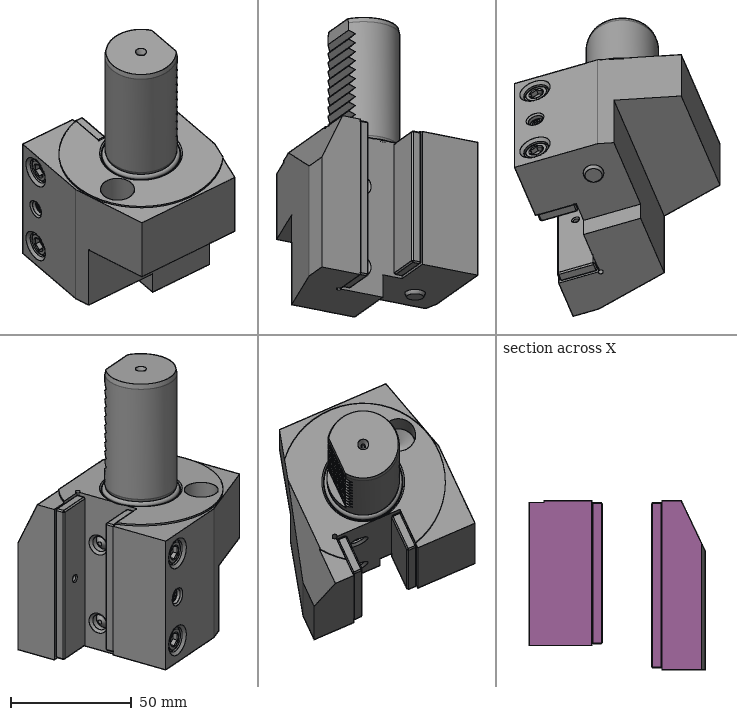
import cadquery as cq
import math


half_width = 35.0
front_y = -35.0
back_y = 38.0
bottom_z = -70.0
front_bottom_z = -60.0
block_top_z = -0.8
side_taper = math.tan(math.radians(15))
front_taper_start_x = 1.5
back_taper_start_x = -23.8
step_x = 8.0
wing_bottom_z = -30.0
slope_top_y = 28.0
slope_bottom_z = -21.0
seat_radius = 34.0

pocket_wall_x = -17.0
pocket_front_y = -9.0
pocket_back_y = 20.0
relief_radius = 1.0
relief_offset = 0.4

plate_start_x = -34.2
plate_end_x = -17.8
plate_thickness = 4.4
plate_chamfer = 0.6
plate_end_gap = 0.6
plate_hole_mouth_radius = 1.8
plate_hole_radius = 1.2
plate_hole_depth = 2.5

shank_radius = 15.0
shank_length = 55.0
shank_chamfer_radius = 14.5
shank_chamfer_height = 2.1
neck_radius = 14.6
neck_height = 1.0
neck_taper_top = 2.2
flat_y = 11.9
flat_start_z = 7.0
tooth_pitch = 4.0
tooth_depth = 2.0
tooth_count = 10
first_valley_z = 11.6
center_hole_radius = 2.2
pilot_radius = 0.9
pilot_depth = 5.0
center_cone_half_angle = 30.0

groove_radius = 17.1
groove_floor_radius = 16.5
groove_depth = 0.6
ring_path_radius = 15.0
ring_section_radius = 1.2
ring_center_z = -0.2

coolant_distance = 25.0
coolant_angle = -60.0
coolant_radius = 7.0
coolant_depth = 15.0
drill_point_half_angle = 59.0
nozzle_x = -5.1
nozzle_y = -21.4
nozzle_ball_radius = 4.4
nozzle_ball_rise = 1.0
nozzle_height = 1.6

screw_x = -26.0
clamp_screw_z = (-10.0, -50.0)
middle_screw_z = -30.0
stop_screw_y = 10.0
stop_screw_z = (-21.8, -57.8)
clamp_screw = dict(
    mouth_radius=6.6, hole_radius=5.4, tip_depth=1.5, tip_radius=4.5, tip_length=0.9,
    hex_width=5.0, socket_depth=2.5
)
middle_screw = dict(
    mouth_radius=3.9, hole_radius=3.1, tip_depth=2.0, tip_radius=2.6, tip_length=0.5,
    hex_width=2.6, socket_depth=1.2
)
socket_rim_margin = 0.2
socket_rim_depth = 0.4
stop_screw = dict(mouth_radius=4.5, hole_radius=3.4, tip_depth=1.2, tip_radius=0.9, tip_length=2.5)

clear = 6.2


def box(x0, x1, y0, y1, z0, z1):
    return cq.Workplane("XY").box(x1 - x0, y1 - y0, z1 - z0, centered=False).translate((x0, y0, z0))


def revolved(points):
    """Turn a closed (radius, height) outline about the Z axis."""
    return cq.Workplane("XZ").polyline(points).close().revolve(360, (0, 0, 0), (0, 1, 0))


def placed(tool, plane):
    """Move a tool built about the Z axis so that Z follows the plane's normal."""
    return cq.Workplane(tool.val().located(cq.Location(plane)))


def make_body():
    front_end_y = front_y + side_taper * (half_width - front_taper_start_x)
    back_end_y = back_y - side_taper * (half_width - back_taper_start_x)
    outline = [
        (-half_width, front_y),
        (front_taper_start_x, front_y),
        (half_width, front_end_y),
        (half_width, back_end_y),
        (back_taper_start_x, back_y),
        (-half_width, back_y),
    ]
    prism = cq.Workplane("XY").workplane(offset=bottom_z).polyline(outline).close().extrude(-bottom_z)
    above_seat = (
        box(-half_width - clear, half_width + clear, front_y - clear, back_y + clear, block_top_z, clear)
        .cut(cq.Workplane("XY").workplane(offset=block_top_z).circle(seat_radius).extrude(2 * clear))
    )
    under_wing = box(step_x, half_width + clear, front_y, back_y, bottom_z, wing_bottom_z)
    under_front = box(-half_width, half_width, front_y, 0, bottom_z, front_bottom_z)
    back_slope = (
        cq.Workplane("YZ").workplane(offset=-half_width)
        .polyline([(slope_top_y, 0), (back_y, slope_bottom_z), (back_y, 0)]).close()
        .extrude(2 * half_width)
    )
    pocket = box(-half_width, pocket_wall_x, pocket_front_y, pocket_back_y, bottom_z, 0)
    relief = (
        cq.Workplane("XY").workplane(offset=bottom_z)
        .center(pocket_wall_x + relief_offset, pocket_back_y + relief_offset)
        .circle(relief_radius).extrude(-bottom_z)
    )
    body = prism
    for tool in (above_seat, under_wing, under_front, back_slope, pocket, relief):
        body = body.cut(tool)
    return body


def make_plate(y0, z0):
    plate = box(plate_start_x, plate_end_x, y0, y0 + plate_thickness, z0 + plate_end_gap, block_top_z)
    return plate.edges().chamfer(plate_chamfer)


def make_back_plate_hole():
    """Countersunk blind hole in the middle of the back plate's clamping face."""
    hole = revolved([
        (0, 0),
        (plate_hole_mouth_radius, 0),
        (plate_hole_radius, plate_hole_radius - plate_hole_mouth_radius),
        (plate_hole_radius, -plate_hole_depth),
        (0, -plate_hole_depth),
    ])
    mid_z = (bottom_z + plate_end_gap + block_top_z) / 2
    face_y = pocket_back_y - plate_thickness
    return placed(hole, cq.Plane(origin=(screw_x, face_y, mid_z), xDir=(0, 0, 1), normal=(0, -1, 0)))


def make_shank():
    shank = revolved([
        (0, block_top_z),
        (neck_radius, block_top_z),
        (neck_radius, neck_height),
        (shank_radius, neck_taper_top),
        (shank_radius, shank_length - shank_chamfer_height),
        (shank_chamfer_radius, shank_length),
        (0, shank_length),
    ])
    cone_depth = (center_hole_radius - pilot_radius) / math.tan(math.radians(center_cone_half_angle))
    center_hole = revolved([
        (0, shank_length),
        (center_hole_radius, shank_length),
        (pilot_radius, shank_length - cone_depth),
        (pilot_radius, shank_length - pilot_depth),
        (0, shank_length - pilot_depth),
    ])
    return shank.cut(make_flat_with_teeth()).cut(center_hole)


def make_flat_with_teeth():
    """Saw-toothed cutter that removes the shank flat and its serrations together."""
    outside_y = shank_radius + clear
    cut_outline = [(outside_y, flat_start_z), (flat_y, flat_start_z)]
    cut_outline.append((flat_y, first_valley_z - tooth_pitch / 2))
    for i in range(tooth_count):
        valley_z = first_valley_z + i * tooth_pitch
        cut_outline.append((flat_y - tooth_depth, valley_z))
        cut_outline.append((flat_y, valley_z + tooth_pitch / 2))
    cut_outline += [(flat_y, shank_length + clear), (outside_y, shank_length + clear)]
    return cq.Workplane("YZ").polyline(cut_outline).close().extrude(outside_y, both=True)


def make_ring_groove():
    return revolved([
        (neck_radius, 0),
        (groove_radius, 0),
        (groove_floor_radius, -groove_depth),
        (neck_radius, -groove_depth),
    ])


def make_ring():
    return (
        cq.Workplane("XZ").center(ring_path_radius, ring_center_z).circle(ring_section_radius)
        .revolve(360, (-ring_path_radius, 0, 0), (-ring_path_radius, 1, 0))
    )


def make_coolant_hole():
    point_depth = coolant_radius / math.tan(math.radians(drill_point_half_angle))
    hole = revolved([
        (0, 0),
        (coolant_radius, 0),
        (coolant_radius, -coolant_depth),
        (0, -coolant_depth - point_depth),
    ])
    angle = math.radians(coolant_angle)
    return hole.translate((coolant_distance * math.cos(angle), coolant_distance * math.sin(angle), 0))


def make_nozzle():
    ball = cq.Workplane("XY").sphere(nozzle_ball_radius).translate((0, 0, nozzle_ball_rise))
    reach = nozzle_ball_radius
    kept = box(-reach, reach, -reach, reach, -nozzle_height, nozzle_height)
    return ball.intersect(kept).translate((nozzle_x, nozzle_y, front_bottom_z))


def fit_screw(
    body, plane, mouth_radius, hole_radius, tip_depth, tip_radius, tip_length, hex_width=0, socket_depth=0
):
    """Sink a screw in a countersunk hole; the plane's normal points out of the body."""
    floor_depth = tip_depth + tip_length
    hole = revolved([
        (0, 0),
        (mouth_radius, 0),
        (hole_radius, hole_radius - mouth_radius),
        (hole_radius, -floor_depth),
        (0, -floor_depth),
    ])
    tip = revolved([
        (0, -floor_depth),
        (hole_radius, -floor_depth),
        (tip_radius, -tip_depth),
        (0, -tip_depth),
    ])
    cutter = hole.cut(tip)
    if hex_width:
        hex_corner_width = hex_width / math.cos(math.radians(30))
        socket = (
            cq.Workplane("XY").workplane(offset=-tip_depth)
            .polygon(6, hex_corner_width).extrude(-socket_depth)
        )
        rim = revolved([
            (0, -tip_depth),
            (hex_corner_width / 2 + socket_rim_margin, -tip_depth),
            (hex_width / 2, -tip_depth - socket_rim_depth),
            (0, -tip_depth - socket_rim_depth),
        ])
        cutter = cutter.union(socket).union(rim)
    return body.cut(placed(cutter, plane))


def front_plane(z):
    return cq.Plane(origin=(screw_x, front_y, z), xDir=(0, 0, 1), normal=(0, -1, 0))


def pocket_wall_plane(z):
    return cq.Plane(origin=(pocket_wall_x, stop_screw_y, z), xDir=(0, 1, 0), normal=(-1, 0, 0))


result = make_body()
result = result.union(make_shank())
result = result.cut(make_ring_groove()).union(make_ring())
result = result.union(make_plate(pocket_front_y, front_bottom_z))
result = result.union(make_plate(pocket_back_y - plate_thickness, bottom_z))
result = result.cut(make_back_plate_hole())
result = result.cut(make_coolant_hole())
result = result.union(make_nozzle())

for z in clamp_screw_z:
    result = fit_screw(result, front_plane(z), **clamp_screw)
result = fit_screw(result, front_plane(middle_screw_z), **middle_screw)
for z in stop_screw_z:
    result = fit_screw(result, pocket_wall_plane(z), **stop_screw)